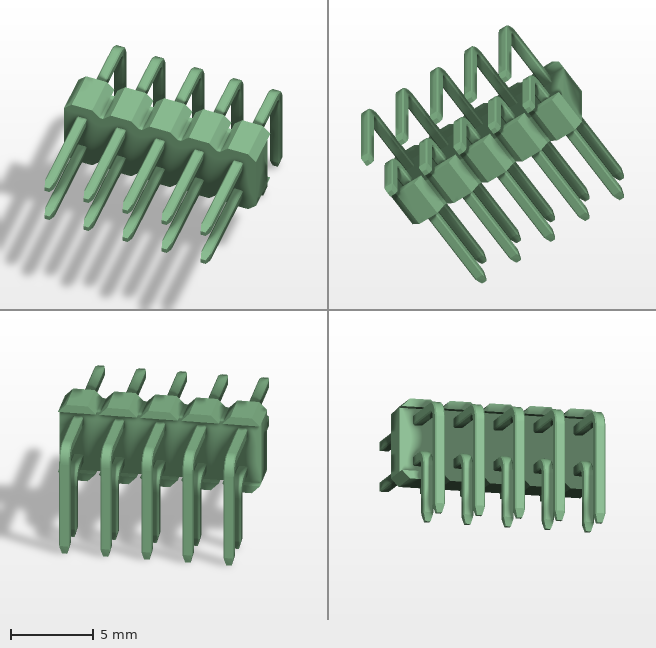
import cadquery as cq


columns = 5
pitch = 2.54
overall_width = 12.5
overall_depth = 12.9
overall_height = 8.0

housing_height = 4.99
housing_depth = 2.49
housing_front = 6.01
notch_depth = 0.5
rear_recess_depth = 0.5

housing_top = overall_height
housing_bottom = housing_top - housing_height
housing_middle = (housing_top + housing_bottom) / 2
housing_rear = housing_front + housing_depth
lobe_width = overall_width - (columns - 1) * pitch
web_height = housing_height - 2 * notch_depth

pin_width = 0.63
edge_chamfer = 0.08
bend_inner_radius = 0.46
tip_length = 0.55
tip_end_width = 0.32

bend_radius = bend_inner_radius + pin_width / 2
column_positions = [(i - (columns - 1) / 2) * pitch for i in range(columns)]

rear_tail_y = overall_depth - pin_width / 2
pin_rows = [
    (housing_middle + pitch / 2, rear_tail_y),
    (housing_middle - pitch / 2, rear_tail_y - pitch),
]


def make_housing():
    """Chamfered lobe per column, joined by a lower web and recessed at the rear."""
    front = cq.Workplane("XZ", origin=(0, housing_front, housing_middle))
    housing = front.rect(overall_width, web_height).extrude(-housing_depth)
    for x in column_positions:
        lobe = (
            front.center(x, 0)
            .rect(lobe_width, housing_height)
            .extrude(-housing_depth)
            .edges("|Y")
            .chamfer(notch_depth)
        )
        housing = housing.union(lobe)

    recess = (
        cq.Workplane("XZ", origin=(0, housing_rear, housing_middle))
        .rect(overall_width, web_height)
        .extrude(rear_recess_depth)
    )
    return housing.cut(recess)


def pin_section(plane):
    """Square pin profile with chamfered corners."""
    return plane.sketch().rect(pin_width, pin_width).vertices().chamfer(edge_chamfer).finalize()


def make_tip(plane):
    """Square taper whose corners run out from the chamfered pin edges."""
    taper = (
        plane.rect(pin_width, pin_width)
        .workplane(offset=tip_length)
        .rect(tip_end_width, tip_end_width)
        .loft()
    )
    return taper.intersect(pin_section(plane).extrude(tip_length))


def make_pin(x, leg_z, tail_y):
    """Pin running back along Y, bending down and ending in a tail, with both ends tapered."""
    bend_start_y = tail_y - bend_radius
    bend_end_z = leg_z - bend_radius
    mating_end = cq.Workplane("XZ", origin=(x, tip_length, leg_z))
    bend_start = cq.Workplane("XZ", origin=(x, bend_start_y, leg_z))
    tail_end = cq.Workplane("XY", origin=(x, tail_y, tip_length)).workplane(invert=True)

    leg = pin_section(mating_end).extrude(tip_length - bend_start_y)
    bend = pin_section(bend_start).revolve(90, (0.13, -bend_radius, 0), (0, -bend_radius, 0))
    tail = pin_section(tail_end).extrude(tip_length - bend_end_z)
    return leg.union(bend).union(tail).union(make_tip(mating_end)).union(make_tip(tail_end))


result = make_housing()
for leg_z, tail_y in pin_rows:
    for x in column_positions:
        result = result.union(make_pin(x, leg_z, tail_y))